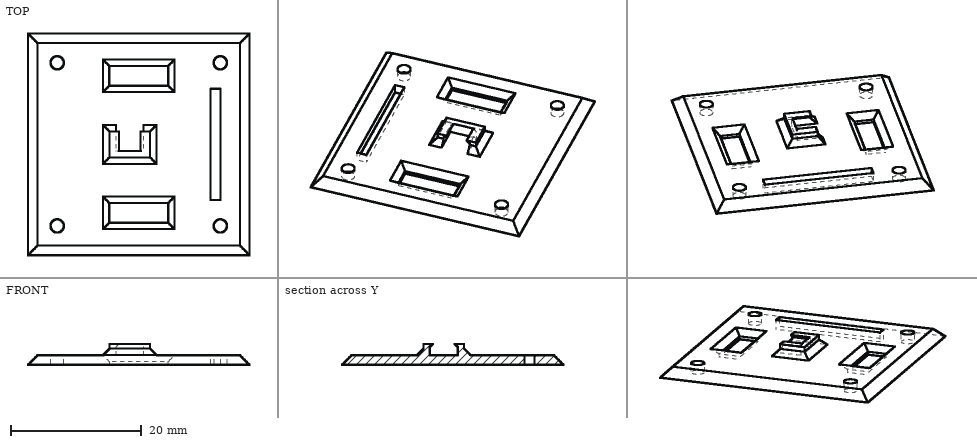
import cadquery as cq

PLATE_SIDE = 34.0
PLATE_THICKNESS = 1.5
PLATE_TOP_SIDE = PLATE_SIDE - 2 * PLATE_THICKNESS

HOLE_DIAMETER = 2.0
HOLE_SPACING = 25.0

SLOT_WIDTH = 1.5
SLOT_LENGTH = 17.0
SLOT_CENTER_X = 11.75

WINDOW_LENGTH = 9.0
WINDOW_WIDTH = 3.0
WINDOW_FLARE = 1.0
WINDOW_OFFSET_Y = 10.5

CAP_LENGTH = 6.25
CAP_WIDTH = 4.0
CAP_HEIGHT = 0.75
PEDESTAL_HEIGHT = 1.0
PEDESTAL_LENGTH = CAP_LENGTH + 2 * PEDESTAL_HEIGHT
PEDESTAL_WIDTH = CAP_WIDTH + 2 * PEDESTAL_HEIGHT
HOLDER_CENTER_X = PEDESTAL_LENGTH / 2 - WINDOW_LENGTH / 2 - WINDOW_FLARE

NOTCH_MOUTH_WIDTH = 3.25
NOTCH_FLOOR_WIDTH = 4.25
NOTCH_DEPTH = 3.0
NOTCH_OVERHANG = (NOTCH_FLOOR_WIDTH - NOTCH_MOUTH_WIDTH) / 2
NOTCH_END_Y = CAP_WIDTH / 2 - NOTCH_DEPTH
NOTCH_RUN = PEDESTAL_WIDTH / 2 - NOTCH_END_Y


def tapered_block(center, bottom_size, top_size, height):
    """Rectangular frustum whose bottom face is centered on the given point."""
    return (
        cq.Workplane("XY", origin=center)
        .rect(*bottom_size)
        .workplane(offset=height)
        .rect(*top_size)
        .loft(ruled=True)
    )


def block(center, size, height):
    """Straight rectangular block whose bottom face is centered on the given point."""
    return cq.Workplane("XY", origin=center).rect(*size).extrude(height)


def base_plate():
    plate = tapered_block(
        (0, 0, 0),
        (PLATE_SIDE, PLATE_SIDE),
        (PLATE_TOP_SIDE, PLATE_TOP_SIDE),
        PLATE_THICKNESS,
    )
    holes = (
        cq.Workplane("XY")
        .rect(HOLE_SPACING, HOLE_SPACING, forConstruction=True)
        .vertices()
        .circle(HOLE_DIAMETER / 2)
        .extrude(PLATE_THICKNESS)
    )
    slot = block((SLOT_CENTER_X, 0, 0), (SLOT_WIDTH, SLOT_LENGTH), PLATE_THICKNESS)
    return plate.cut(holes).cut(slot)


def window_cutter(center_y):
    throat_size = (WINDOW_LENGTH, WINDOW_WIDTH)
    mouth_size = (WINDOW_LENGTH + 2 * WINDOW_FLARE, WINDOW_WIDTH + 2 * WINDOW_FLARE)
    throat_height = PLATE_THICKNESS - WINDOW_FLARE
    throat = block((0, center_y, 0), throat_size, throat_height)
    mouth = tapered_block((0, center_y, throat_height), throat_size, mouth_size, WINDOW_FLARE)
    return throat.union(mouth)


def notch_cutter():
    half_floor = NOTCH_FLOOR_WIDTH / 2
    half_mouth = NOTCH_MOUTH_WIDTH / 2
    notch_height = PEDESTAL_HEIGHT + CAP_HEIGHT
    wall_height = notch_height - NOTCH_OVERHANG
    return (
        cq.Workplane("XZ", origin=(HOLDER_CENTER_X, PEDESTAL_WIDTH / 2, PLATE_THICKNESS))
        .moveTo(-half_floor, 0)
        .lineTo(half_floor, 0)
        .lineTo(half_floor, wall_height)
        .lineTo(half_mouth, notch_height)
        .lineTo(-half_mouth, notch_height)
        .lineTo(-half_floor, wall_height)
        .close()
        .extrude(NOTCH_RUN)
    )


def holder():
    cap_size = (CAP_LENGTH, CAP_WIDTH)
    cap_bottom = PLATE_THICKNESS + PEDESTAL_HEIGHT
    pedestal = tapered_block(
        (HOLDER_CENTER_X, 0, PLATE_THICKNESS),
        (PEDESTAL_LENGTH, PEDESTAL_WIDTH),
        cap_size,
        PEDESTAL_HEIGHT,
    )
    cap = block((HOLDER_CENTER_X, 0, cap_bottom), cap_size, CAP_HEIGHT)
    return pedestal.union(cap).cut(notch_cutter())


result = base_plate()
for side in (-1, 1):
    result = result.cut(window_cutter(side * WINDOW_OFFSET_Y))
result = result.union(holder())